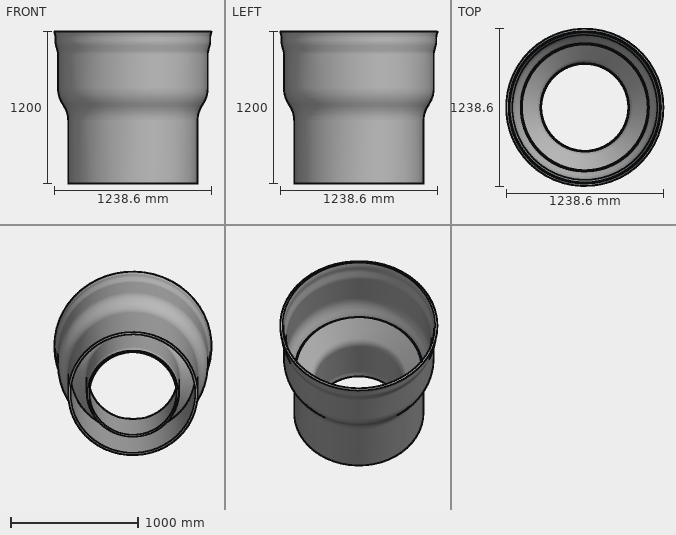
import cadquery as cq
import math

TOTAL_HEIGHT = 1200.0
OUTER_WALL = 20.0
SPIGOT_BORE = 980.0
BARREL_BORE = 1140.0
SOCKET_BORE = 1180.0
MOUTH_DIAMETER = 1238.58
SPIGOT_HEIGHT = 500.0
SHOULDER_HEIGHT = 250.0
BARREL_TOP = 1018.0
SHOULDER_BEND = 200.0
SOCKET_ANGLE = 15.3
SOCKET_BEND = 100.0
MOUTH_BEND = 80.0

FUNNEL_WALL = 16.0
FUNNEL_TOP = 600.0
FUNNEL_TOP_BORE = 987.4
TUBE_BORE = 698.0
LIP_BORE = 682.0
CONE_ANGLE = 43.0
CONE_BEND = 84.0
LIP_ANGLE = 10.0


def straight(length):
    """A step that carries the wall on along its present lean."""
    return {"length": length}


def bend(angle, radius):
    """A step that leans the wall outwards (positive angle) or inwards; radius is inside the bend."""
    return {"angle": math.radians(angle), "radius": radius}


def wall_face(bore, steps, wall, start_lean, is_outer):
    """Edges of one face of a wall, drawn upwards in the XZ plane; the wall's lowest corner is at Z = 0."""
    offset = wall if is_outer else 0.0
    lean = math.radians(start_lean)
    inner_start = cq.Vector(bore / 2, 0, wall * math.sin(lean))
    here = inner_start + cq.Vector(math.cos(lean), 0, -math.sin(lean)) * offset
    edges = []
    for step in steps:
        if "length" in step:
            there = here + cq.Vector(math.sin(lean), 0, math.cos(lean)) * step["length"]
            edges.append(cq.Edge.makeLine(here, there))
            here = there
            continue
        side = math.copysign(1, step["angle"])
        on_inside_of_bend = is_outer == (side > 0)
        radius = step["radius"] + (0.0 if on_inside_of_bend else wall)
        middle_lean = lean + step["angle"] / 2
        end_lean = lean + step["angle"]
        if radius > 0:
            to_start = cq.Vector(-math.cos(lean), 0, math.sin(lean)) * (side * radius)
            to_middle = cq.Vector(-math.cos(middle_lean), 0, math.sin(middle_lean)) * (side * radius)
            to_end = cq.Vector(-math.cos(end_lean), 0, math.sin(end_lean)) * (side * radius)
            centre = here - to_start
            there = centre + to_end
            edges.append(cq.Edge.makeThreePointArc(here, centre + to_middle, there))
            here = there
        lean = end_lean
    return edges


def revolved_wall(bore, steps, wall, start_lean=0.0):
    """A body of revolution whose wall has constant thickness and ends square to itself."""
    inner = wall_face(bore, steps, wall, start_lean, is_outer=False)
    outer = wall_face(bore, steps, wall, start_lean, is_outer=True)
    top = cq.Edge.makeLine(inner[-1].endPoint(), outer[-1].endPoint())
    bottom = cq.Edge.makeLine(outer[0].startPoint(), inner[0].startPoint())
    section = cq.Wire.assembleEdges([*inner, top, *reversed(outer), bottom])
    return cq.Workplane(cq.Solid.revolve(section, [], 360, cq.Vector(0, 0, 0), cq.Vector(0, 0, 1)))


shoulder_step = (BARREL_BORE - SPIGOT_BORE) / 2
shoulder_radii = 2 * SHOULDER_BEND + OUTER_WALL
centre_distance = math.hypot(shoulder_radii - shoulder_step, SHOULDER_HEIGHT)
shoulder_slope = math.sqrt(centre_distance**2 - shoulder_radii**2)
shoulder_angle = math.degrees(
    math.atan2(SHOULDER_HEIGHT, shoulder_radii - shoulder_step) - math.atan2(shoulder_slope, shoulder_radii)
)

socket_sin = math.sin(math.radians(SOCKET_ANGLE))
socket_cos = math.cos(math.radians(SOCKET_ANGLE))
socket_radii = 2 * SOCKET_BEND + OUTER_WALL
socket_step = (SOCKET_BORE - BARREL_BORE) / 2
socket_slope = (socket_step - socket_radii * (1 - socket_cos)) / socket_sin
socket_step_height = socket_radii * socket_sin + socket_slope * socket_cos

mouth_inner_bend = MOUTH_BEND + OUTER_WALL
mouth_step = MOUTH_DIAMETER / 2 - OUTER_WALL * socket_cos - SOCKET_BORE / 2
mouth_slope = (mouth_step - mouth_inner_bend * (1 - socket_cos)) / socket_sin
mouth_height = mouth_inner_bend * socket_sin + mouth_slope * socket_cos

barrel_length = BARREL_TOP - SPIGOT_HEIGHT - SHOULDER_HEIGHT
socket_length = TOTAL_HEIGHT - mouth_height - socket_step_height - BARREL_TOP

outer_pipe = revolved_wall(
    SPIGOT_BORE,
    [
        straight(SPIGOT_HEIGHT),
        bend(shoulder_angle, SHOULDER_BEND),
        straight(shoulder_slope),
        bend(-shoulder_angle, SHOULDER_BEND),
        straight(barrel_length),
        bend(SOCKET_ANGLE, SOCKET_BEND),
        straight(socket_slope),
        bend(-SOCKET_ANGLE, SOCKET_BEND),
        straight(socket_length),
        bend(SOCKET_ANGLE, MOUTH_BEND),
        straight(mouth_slope),
    ],
    OUTER_WALL,
)

lip_sin = math.sin(math.radians(LIP_ANGLE))
lip_slope = (TUBE_BORE - LIP_BORE) / 2 / lip_sin
lip_height = FUNNEL_WALL * lip_sin + lip_slope * math.cos(math.radians(LIP_ANGLE))

cone_sin = math.sin(math.radians(CONE_ANGLE))
cone_cos = math.cos(math.radians(CONE_ANGLE))
cone_inner_bend = CONE_BEND + FUNNEL_WALL
cone_step = (FUNNEL_TOP_BORE - TUBE_BORE) / 2
cone_slope = (cone_step - cone_inner_bend * (1 - cone_cos)) / cone_sin
cone_height = cone_inner_bend * cone_sin + cone_slope * cone_cos

tube_length = FUNNEL_TOP - cone_height - lip_height

funnel = revolved_wall(
    LIP_BORE,
    [
        straight(lip_slope),
        bend(-LIP_ANGLE, 0.0),
        straight(tube_length),
        bend(CONE_ANGLE, CONE_BEND),
        straight(cone_slope),
    ],
    FUNNEL_WALL,
    start_lean=LIP_ANGLE,
)

result = cq.Compound.makeCompound([outer_pipe.val(), funnel.val()])